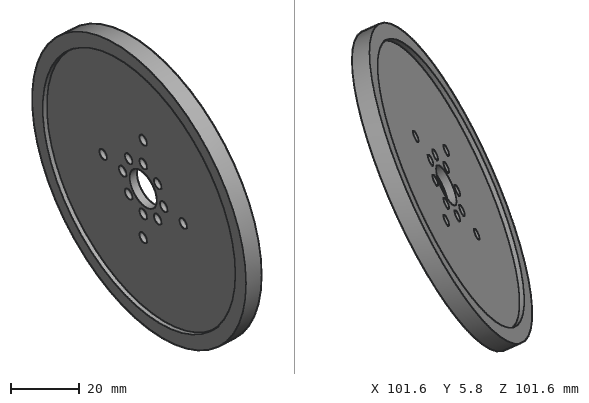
import cadquery as cq

outer_diameter = 101.6
thickness = 5.8
rim_width = 5.1
recess_depth = 1.5

bore_diameter = 12.8
bolt_hole_diameter = 3.6
inner_bolt_radius = 9.8
inner_bolt_count = 8
outer_bolt_radius = 19.0
outer_bolt_count = 4

recess_diameter = outer_diameter - 2 * rim_width


def cylinder_along_y(diameter, start_y, length):
    """Cylinder about the Y axis, growing toward +Y from start_y."""
    plane = cq.Workplane("XZ", origin=(0, start_y, 0))
    return plane.circle(diameter / 2).extrude(-length)


def bolt_circle(radius, count):
    """Cutters for evenly spaced bolt holes, the first one on the +X axis."""
    return (
        cq.Workplane("XZ")
        .polarArray(radius, 0, 360, count)
        .circle(bolt_hole_diameter / 2)
        .extrude(thickness, both=True)
    )


front_y = -thickness / 2
disc = cylinder_along_y(outer_diameter, front_y, thickness)

back_recess_y = thickness / 2 - recess_depth
for recess_y in (front_y, back_recess_y):
    disc = disc.cut(cylinder_along_y(recess_diameter, recess_y, recess_depth))

disc = disc.cut(cylinder_along_y(bore_diameter, front_y, thickness))
disc = disc.cut(bolt_circle(inner_bolt_radius, inner_bolt_count))
disc = disc.cut(bolt_circle(outer_bolt_radius, outer_bolt_count))

result = disc